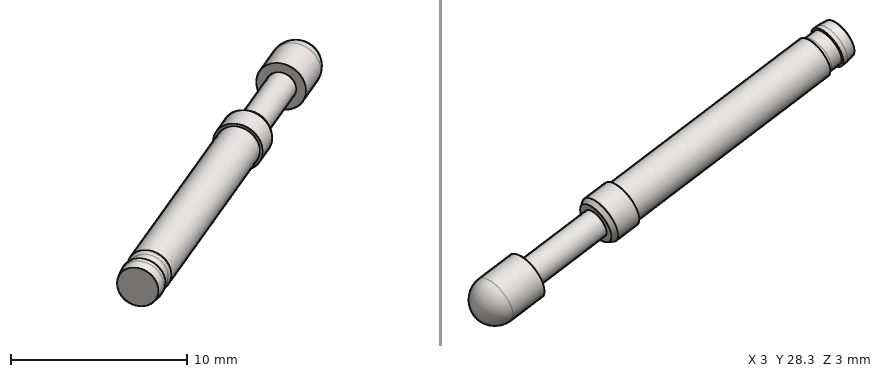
import cadquery as cq
import math

total_length = 28.3

head_radius = 1.5
stem_radius = 0.9
collar_radius = head_radius
body_radius = 1.33
neck_radius = 1.2
tail_face_radius = 1.25

tail_taper_end = 0.65
tail_band_end = 0.95
shoulder_start = 1.75
collar_start = 16.98
collar_end = 18.95
head_start = 24.35
dome_start = total_length - head_radius

shoulder_fillet = 0.23
shoulder_height = body_radius - neck_radius
shoulder_length = math.sqrt(shoulder_fillet**2 - (shoulder_fillet - shoulder_height) ** 2)
collar_chamfer_width = 0.2
collar_chamfer_length = 0.35

profile = (
    cq.Workplane("XY")
    .moveTo(0, 0)
    .lineTo(tail_face_radius, 0)
    .lineTo(body_radius, tail_taper_end)
    .lineTo(body_radius, tail_band_end)
    .lineTo(neck_radius, tail_band_end)
    .lineTo(neck_radius, shoulder_start)
    .radiusArc((body_radius, shoulder_start + shoulder_length), shoulder_fillet)
    .lineTo(body_radius, collar_start)
    .lineTo(collar_radius, collar_start)
    .lineTo(collar_radius, collar_end - collar_chamfer_length)
    .lineTo(collar_radius - collar_chamfer_width, collar_end)
    .lineTo(stem_radius, collar_end)
    .lineTo(stem_radius, head_start)
    .lineTo(head_radius, head_start)
    .lineTo(head_radius, dome_start)
    .radiusArc((0, total_length), -head_radius)
    .close()
)

result = profile.revolve(360, (0, 0, 0), (0, 1, 0))